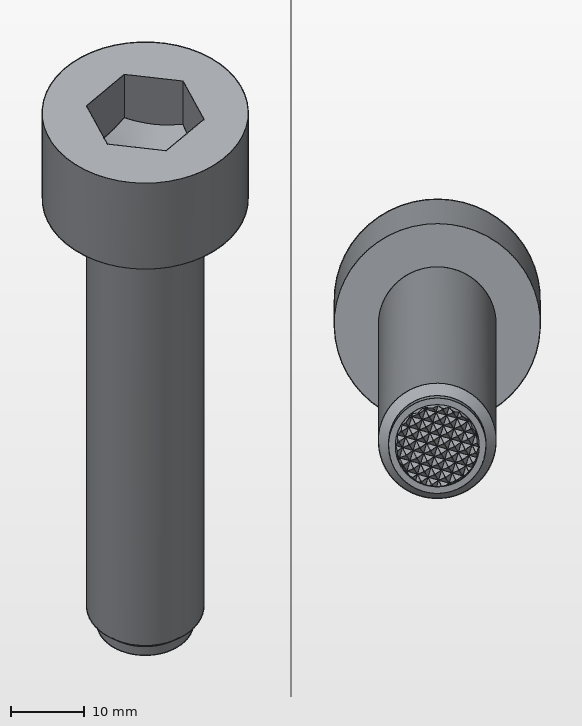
import cadquery as cq
import math

total_length = 96.0
head_diameter = 28.0
head_height = 16.0
shank_diameter = 16.0
neck_diameter = 13.2
chamfer_height = 1.5
neck_height = 1.6
tooth_projection = 1.0

socket_across_flats = 14.0
socket_depth = 8.1
socket_floor_slope = 30.0

insert_diameter = 11.4
insert_tip_diameter = 10.8
insert_recess = 2.9
teeth_across = 8
outer_crest_spacing = 10.5
crest_width = 0.2
groove_angle = 90.0

head_bottom = total_length - head_height
neck_bottom = tooth_projection
neck_top = neck_bottom + neck_height
shank_bottom = neck_top + chamfer_height
recess_top = neck_bottom + insert_recess

socket_floor = total_length - socket_depth
socket_corner_radius = socket_across_flats / 2 / math.cos(math.radians(30))
socket_apex = socket_floor - socket_corner_radius * math.tan(math.radians(socket_floor_slope))

tooth_pitch = outer_crest_spacing / (teeth_across - 1)
groove_half_width = (tooth_pitch - crest_width) / 2
groove_depth = groove_half_width / math.tan(math.radians(groove_angle / 2))


def revolve_about_z(profile):
    """Solid of revolution from (radius, Z) points."""
    return cq.Workplane("XZ").polyline(profile).close().revolve(360, (0, 0), (0, 1))


def make_socket():
    """Hexagonal prism cut off below by a cone that passes through its lower corners."""
    hexagon = (
        cq.Workplane("XY")
        .workplane(offset=socket_apex)
        .polygon(6, 2 * socket_corner_radius)
        .extrude(total_length - socket_apex)
    )
    pointed_cylinder = revolve_about_z([
        (0, socket_apex),
        (socket_corner_radius, socket_floor),
        (socket_corner_radius, total_length),
        (0, total_length),
    ])
    return hexagon.intersect(pointed_cylinder)


def make_screw():
    """Cap screw with a blind recess in its end for the insert."""
    body = revolve_about_z([
        (0, total_length),
        (head_diameter / 2, total_length),
        (head_diameter / 2, head_bottom),
        (shank_diameter / 2, head_bottom),
        (shank_diameter / 2, shank_bottom),
        (neck_diameter / 2, neck_top),
        (neck_diameter / 2, neck_bottom),
        (insert_diameter / 2, neck_bottom),
        (insert_diameter / 2, recess_top),
        (0, recess_top),
    ])
    return body.cut(make_socket())


def make_groove(offset):
    """V-groove along Y in the insert's end face, centred at X = offset."""
    return (
        cq.Workplane("XZ")
        .polyline([
            (offset - groove_half_width, 0),
            (offset, groove_depth),
            (offset + groove_half_width, 0),
        ])
        .close()
        .extrude(insert_diameter, both=True)
    )


def make_insert():
    """Disc tapering to an end face that crossed V-grooves divide into pyramid teeth."""
    insert = revolve_about_z([
        (0, 0),
        (insert_tip_diameter / 2, 0),
        (insert_diameter / 2, neck_bottom),
        (insert_diameter / 2, recess_top),
        (0, recess_top),
    ])
    for index in range(teeth_across + 1):
        groove = make_groove((index - teeth_across / 2) * tooth_pitch)
        crossing_groove = groove.rotate((0, 0, 0), (0, 0, 1), 90)
        insert = insert.cut(groove).cut(crossing_groove)
    return insert


screw = make_screw()
insert = make_insert()
result = cq.Compound.makeCompound([screw.val(), insert.val()])